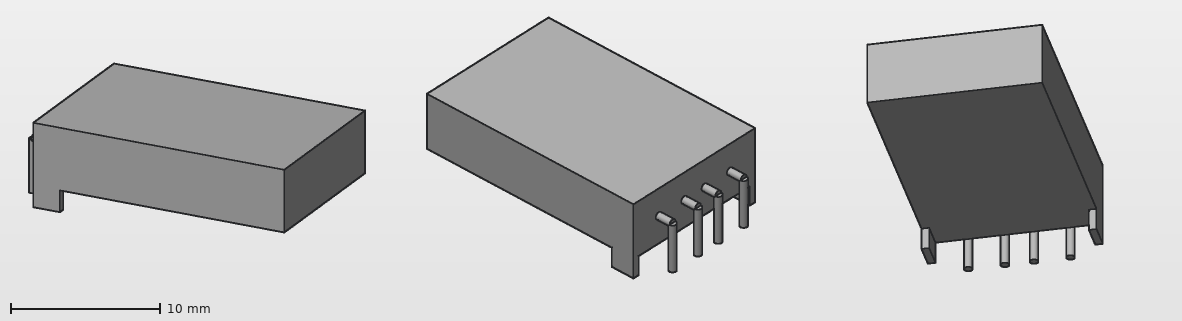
import cadquery as cq

overall_length = 20.38
width = 12.0
height = 6.1

pin_diameter = 0.6
pin_radius = pin_diameter / 2
pin_bend_height = 3.85
inner_pin_spacing = 2.0
outer_pin_gap = 2.5

housing_setback = 1.55
housing_length = overall_length - housing_setback

foot_length = 2.0
foot_width = 0.53
foot_height = 1.57


def make_housing():
    """Rectangular block raised above the base plane by the foot height."""
    return cq.Workplane("XY").box(
        housing_length, width, height - foot_height, centered=(False, True, False)
    ).translate((housing_setback, 0, foot_height))


def make_foot(side):
    """Foot flush with the pin face and one long side; side is +1 or -1 along Y."""
    foot_y = side * (width - foot_width) / 2
    return cq.Workplane("XY").box(
        foot_length, foot_width, foot_height, centered=(False, True, False)
    ).translate((housing_setback, foot_y, 0))


def make_pin(pin_y):
    """Upright and level round rods, each ending at the other's axis."""
    upright = cq.Workplane("XY").center(pin_radius, pin_y).circle(pin_radius).extrude(pin_bend_height)
    level = (
        cq.Workplane("YZ", origin=(pin_radius, pin_y, pin_bend_height))
        .circle(pin_radius)
        .extrude(housing_setback - pin_radius)
    )
    return upright.union(level)


result = make_housing()
inner_pin_y = inner_pin_spacing / 2
outer_pin_y = inner_pin_y + outer_pin_gap
for side in (-1, 1):
    result = result.union(make_foot(side))
    for pin_offset in (inner_pin_y, outer_pin_y):
        result = result.union(make_pin(side * pin_offset))